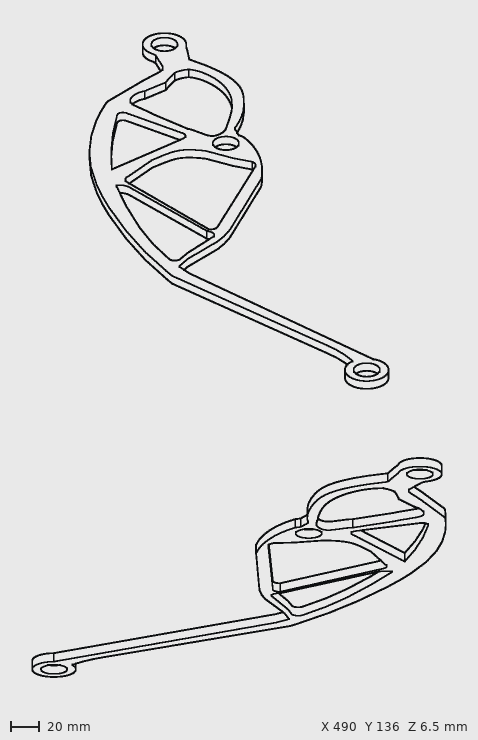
import cadquery as cq

thickness = 6.5
overall_length = 490.0
eye_radius = 15.0
hole_diameter = 18.0
left_eye = (0.0, 0.0)
right_eye = (overall_length - 2 * eye_radius, 0.0)
pivot = (139.5, 0.0)


def plate(start, segments):
    """Extrude a closed outline made of lines, arcs and smooth curves.

    One point is a straight line to it, two points are an arc (middle, end),
    and more points are a smooth curve through them.
    """
    sketch = cq.Workplane("XY").moveTo(*start)
    for points in segments:
        if len(points) == 1:
            sketch = sketch.lineTo(*points[0])
        elif len(points) == 2:
            sketch = sketch.threePointArc(*points)
        else:
            sketch = sketch.spline(points, includeCurrent=True)
    return sketch.close().extrude(thickness)


def disc(center, diameter):
    return cq.Workplane("XY").center(*center).circle(diameter / 2).extrude(thickness)


arm = plate(
    (2.5, 14.0),
    [
        [(12.2, 12.5)],
        [(24.5, 10.5)],
        [(40.5, 22.0), (59.0, 30.5), (73.0, 32.5), (87.0, 30.0), (107.5, 22.0), (122.5, 12.0)],
        [(132.0, 12.0)],
        [(135.0, 14.0)],
        [(157.0, 17.0), (173.5, 15.0), (192.5, 9.0)],
        [(244.5, -28.0)],
        [(255.5, -36.5), (263.5, -45.5)],
        [(280.0, -72.5)],
        [(287.5, -81.5)],
        [(298.5, -77.5)],
        [(448.5, 9.5)],
        [(453.0, -4.0)],
        [(444.5, -6.0)],
        [(434.5, -9.0), (420.0, -16.0)],
        [(298.5, -89.5)],
        [(293.0, -91.0)],
        [
            (257.5, -98.5), (228.5, -102.0), (190.0, -103.5), (154.5, -101.0),
            (122.0, -93.5), (92.5, -81.5), (63.0, -62.5),
        ],
        [(60.8, -60.5), (59.5, -58.0)],
        [(41.5, -28.5)],
        [(34.0, -13.5)],
        [(31.5, -11.5), (27.5, -10.5)],
        [(12.5, -10.5)],
        [(4.0, -13.5)],
        [(0.0, 0.0)],
    ],
)

front_window = plate(
    (37.0, 6.0),
    [
        [(39.5, 9.5), (51.0, 17.5), (64.5, 22.0), (83.0, 22.0), (100.0, 16.5), (121.0, 6.0)],
        [(126.0, 1.0), (127.5, -6.0), (124.0, -10.5), (113.0, -19.0)],
        [(86.5, -36.5)],
        [(75.0, -43.0), (66.0, -46.0), (58.5, -40.0), (56.0, -32.5)],
        [(49.0, -14.5)],
        [(45.0, -11.5)],
        [(38.5, -5.0)],
        [(37.0, 0.0), (37.0, 6.0)],
    ],
)

triangle_window = plate(
    (117.5, -24.5),
    [
        [(80.0, -53.5)],
        [(78.5, -57.0), (81.0, -60.5)],
        [(113.0, -74.5), (149.0, -85.5)],
        [(124.5, -26.0)],
        [(121.5, -23.5), (117.5, -24.5)],
    ],
)

middle_window = plate(
    (169.0, 10.0),
    [
        [(173.0, 11.0), (176.5, 9.5)],
        [(245.5, -40.0)],
        [(247.0, -43.0), (246.0, -46.5)],
        [(169.0, -81.0)],
        [(165.5, -81.5), (161.0, -77.5)],
        [(145.5, -55.5)],
        [(140.5, -42.0), (139.0, -33.5), (141.5, -23.5), (145.5, -16.0)],
        [(160.0, -1.5)],
        [(169.0, 10.0)],
    ],
)

rear_window = plate(
    (250.5, -46.0),
    [
        [(253.5, -45.0), (256.0, -46.0)],
        [(272.0, -70.0)],
        [(277.5, -76.5)],
        [(279.5, -81.0), (276.5, -85.0)],
        [(250.5, -89.5), (207.5, -91.5), (170.5, -89.5)],
        [(172.5, -84.5), (176.5, -81.5)],
        [(248.0, -48.5)],
    ],
)

result = arm
for eye in (left_eye, right_eye):
    result = result.union(disc(eye, 2 * eye_radius))

for window in (front_window, triangle_window, middle_window, rear_window):
    result = result.cut(window)

for hole in (left_eye, pivot, right_eye):
    result = result.cut(disc(hole, hole_diameter))